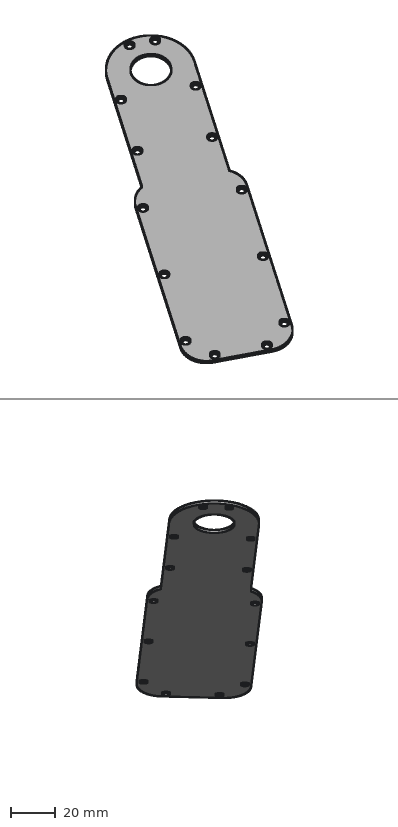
import cadquery as cq
import math

thickness = 1.58
tilt_angle = -24.0

arm_half_width = 20.0
bore_diameter = 18.2

body_center_x = 118.1
body_length = 108.2
body_half_width = 25.5
body_corner_radius = 12.0

screw_diameter = 3.5
countersink_diameter = 4.5
countersink_angle = 90
edge_inset = 3.0
arm_hole_start_x = 14.0
arm_hole_count = 2
arm_hole_pitch = 31.0
round_end_hole_angle = 20
body_hole_pitch = 40.1
end_hole_half_spacing = 12.0


def make_plate():
    """Join the round-ended arm to the rounded rectangular body."""
    round_end = cq.Workplane("XY").circle(arm_half_width).extrude(thickness)
    arm = (
        cq.Workplane("XY")
        .rect(body_center_x, 2 * arm_half_width)
        .extrude(thickness)
        .translate((body_center_x / 2, 0, 0))
    )
    body = (
        cq.Workplane("XY")
        .rect(body_length, 2 * body_half_width)
        .extrude(thickness)
        .edges("|Z")
        .fillet(body_corner_radius)
        .translate((body_center_x, 0, 0))
    )
    return round_end.union(arm).union(body).clean()


def screw_positions():
    """List the hole centres, mirrored about the plate's long axis."""
    arm_y = arm_half_width - edge_inset
    body_y = body_half_width - edge_inset
    end_x = body_center_x + body_length / 2 - edge_inset
    end_angle = math.radians(round_end_hole_angle)

    upper = [(-arm_y * math.cos(end_angle), arm_y * math.sin(end_angle))]
    for index in range(arm_hole_count):
        upper.append((arm_hole_start_x + index * arm_hole_pitch, arm_y))
    for index in (-1, 0, 1):
        upper.append((body_center_x + index * body_hole_pitch, body_y))
    upper.append((end_x, end_hole_half_spacing))

    lower = [(x, -y) for x, y in upper]
    return upper + lower


def drill_holes(plate):
    """Cut the large bore and the countersunk screw holes through the plate."""
    top = plate.faces(">Z").workplane(origin=(0, 0, thickness))
    bored = top.hole(bore_diameter)
    return (
        bored.faces(">Z")
        .workplane(origin=(0, 0, thickness))
        .pushPoints(screw_positions())
        .cskHole(screw_diameter, countersink_diameter, countersink_angle)
    )


result = drill_holes(make_plate()).rotate((0, 0, 0), (0, 0, 1), tilt_angle)